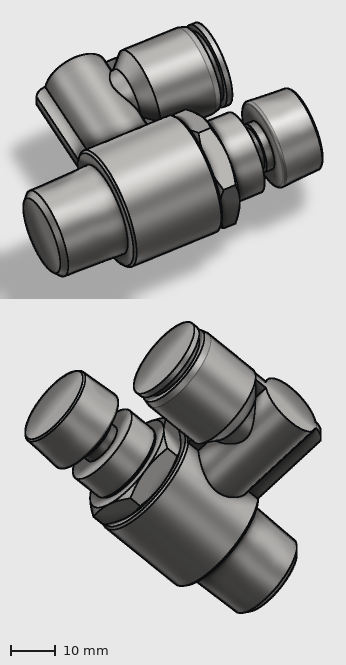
import cadquery as cq
import math

total_length = 65.65
total_width = 50.0

plug_tip_diameter = 17.9
plug_small_diameter = 20.6
plug_large_diameter = 21.45
plug_chamfer_length = 1.3

body_diameter = 28.0
body_bottom = 16.0
body_top = 38.3
body_chamfer = 0.5

hex_across_flats = 24.1
hex_top = 43.45
hex_chamfer_angle = 30.0

collar_diameter = 19.3
collar_foot_diameter = 18.8
collar_foot_height = 0.45
collar_top = 50.95
neck_diameter = 9.65
neck_top = 53.5
step_diameter = 11.6
knob_bottom = 55.4
knob_large_diameter = 20.8
knob_small_diameter = 19.6
knob_rim_radius = 0.6
knob_top_chamfer = 0.4

arm_diameter = 15.35
arm_y = 27.2
arm_end_x = body_diameter / 2 - total_width

socket_diameter = 20.8
socket_x = arm_end_x + socket_diameter / 2
socket_bottom = 37.9
socket_top = 53.1
socket_chamfer_length = 1.5
socket_chamfer_width = 0.4
collet_neck_diameter = 16.8
collet_diameter = 19.8
collet_bottom = 54.6
collet_top = 56.05
cone_length = 3.3
throat_diameter = socket_diameter - 2 * cone_length
throat_end_diameter = 11.95

rib_thickness = 2.75
rib_bottom = 16.6
rib_corner_width = 1.6


def turned(profile, axis_x=0.0):
    """Revolve (radius, y) points about a line parallel to Y."""
    start_y = profile[0][1]
    end_y = profile[-1][1]
    points = [(0, start_y)] + profile + [(0, end_y)]
    solid = cq.Workplane("XY").polyline(points).close().revolve(360, (0, 0, 0), (0, 1, 0))
    return solid.translate((axis_x, 0, 0))


def make_plug():
    return turned([
        (plug_tip_diameter / 2, 0),
        (plug_small_diameter / 2, plug_chamfer_length),
        (plug_large_diameter / 2, body_bottom),
    ])


def make_body():
    radius = body_diameter / 2
    return turned([
        (radius - body_chamfer, body_bottom),
        (radius, body_bottom + body_chamfer),
        (radius, body_top - body_chamfer),
        (radius - body_chamfer, body_top),
    ])


def make_hex_nut():
    """Hexagon with flats facing +X and -X, its corners cut by a cone at each end."""
    flat_radius = hex_across_flats / 2
    corner_radius = flat_radius / math.cos(math.pi / 6)
    chamfer_length = (corner_radius - flat_radius) * math.tan(math.radians(hex_chamfer_angle))
    prism = (
        cq.Workplane("XZ", origin=(0, body_top, 0))
        .polygon(6, 2 * corner_radius)
        .extrude(-(hex_top - body_top))
        .rotate((0, 0, 0), (0, 1, 0), 30)
    )
    envelope = turned([
        (flat_radius, body_top),
        (corner_radius, body_top + chamfer_length),
        (corner_radius, hex_top - chamfer_length),
        (flat_radius, hex_top),
    ])
    return prism.intersect(envelope)


def make_knob_stem():
    collar_foot_top = hex_top + collar_foot_height
    stem = turned([
        (collar_foot_diameter / 2, hex_top),
        (collar_foot_diameter / 2, collar_foot_top),
        (collar_diameter / 2, collar_foot_top),
        (collar_diameter / 2, collar_top),
        (neck_diameter / 2, collar_top),
        (neck_diameter / 2, neck_top),
        (step_diameter / 2, neck_top),
        (step_diameter / 2, knob_bottom),
        (knob_large_diameter / 2, knob_bottom),
        (knob_small_diameter / 2, total_length - knob_top_chamfer),
        (knob_small_diameter / 2 - knob_top_chamfer, total_length),
    ])
    rim = cq.selectors.RadiusNthSelector(-1)
    return stem.edges(rim).fillet(knob_rim_radius)


def make_arm():
    """Round bar from the flat arm end to the main axis."""
    return (
        cq.Workplane("YZ", origin=(arm_end_x, arm_y, 0))
        .circle(arm_diameter / 2)
        .extrude(-arm_end_x)
    )


def make_socket():
    return turned([
        (throat_end_diameter / 2, arm_y),
        (throat_diameter / 2, socket_bottom - cone_length),
        (socket_diameter / 2, socket_bottom),
        (socket_diameter / 2, socket_top - socket_chamfer_length),
        (socket_diameter / 2 - socket_chamfer_width, socket_top),
        (collet_neck_diameter / 2, socket_top),
        (collet_neck_diameter / 2, collet_bottom),
        (collet_diameter / 2, collet_bottom),
        (collet_diameter / 2, collet_top),
    ], socket_x)


def make_rib():
    """Flat web from the arm end to the main axis.

    The lower corner is an arc that leaves the arm end vertically at the underside of the arm.
    """
    arc_start_y = arm_y - arm_diameter / 2
    arc_drop = arc_start_y - rib_bottom
    arc_radius = (arc_drop**2 + rib_corner_width**2) / (2 * rib_corner_width)
    half_sweep = math.asin(arc_drop / arc_radius) / 2
    arc_middle = (
        arm_end_x + arc_radius * (1 - math.cos(half_sweep)),
        arc_start_y - arc_radius * math.sin(half_sweep),
    )
    return (
        cq.Workplane("XY", origin=(0, 0, -rib_thickness / 2))
        .moveTo(0, socket_bottom)
        .lineTo(arm_end_x, socket_bottom)
        .lineTo(arm_end_x, arc_start_y)
        .threePointArc(arc_middle, (arm_end_x + rib_corner_width, rib_bottom))
        .lineTo(0, rib_bottom)
        .close()
        .extrude(rib_thickness)
    )


result = (
    make_body()
    .union(make_plug())
    .union(make_hex_nut())
    .union(make_knob_stem())
    .union(make_arm())
    .union(make_socket())
    .union(make_rib())
)